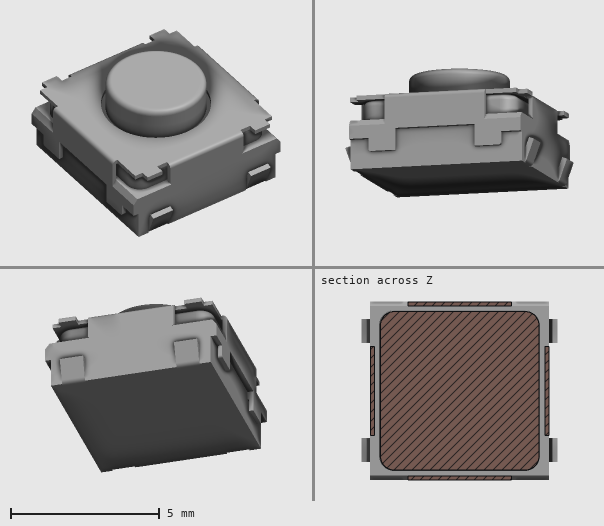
import cadquery as cq
import math

OVERALL_LENGTH = 6.6
OVERALL_HEIGHT = 3.5
BODY_SIZE = 6.0

BASE_WIDTH = 5.6
SHOULDER_BOTTOM = 1.0
SHOULDER_TOP = 1.65
SHOULDER_CHAMFER_HEIGHT = 0.2
SHOULDER_CHAMFER_DEPTH = 0.15
BLOCK_SIZE = 5.4
BLOCK_CORNER_RADIUS = 0.5
BLOCK_TOP_RADIUS = 0.2

SHEET = 0.15
COVER_TOP = 2.5
COVER_BOTTOM = COVER_TOP - SHEET
COVER_SIZE = 5.6
COVER_HOLE_DIAMETER = 3.7
EAR_SPAN = 6.205
EAR_INNER_Y = 1.9
EAR_OUTER_Y = 2.5
SIDE_TAB_WIDTH = 3.0
CLIP_WIDTH = 3.5
CLIP_FOOT_SPAN = 4.63
CLIP_BOTTOM = 0.555
WINDOW_WIDTH = 2.78
WINDOW_TOP = 1.3
TAB_CORNER_RADIUS = 0.08

BUTTON_DIAMETER = 3.4
BUTTON_TOP_RADIUS = 0.2

LEAD_WIDTH = 0.805
LEAD_SPACING = 4.0
LEAD_THICKNESS = 0.18
LEAD_TIP_HEIGHT = 0.805
LEAD_TILT = math.radians(20)


def block(x_size, y_size, bottom, top):
    """Box centred on the Z axis between two heights."""
    box = cq.Workplane("XY").box(x_size, y_size, top - bottom, centered=(True, True, False))
    return box.translate((0, 0, bottom))


def on_both_sides(feature):
    """Join a feature with its copy turned half way round the Z axis."""
    return feature.union(feature.rotate((0, 0, 0), (0, 0, 1), 180))


def make_housing():
    base = block(BODY_SIZE, BASE_WIDTH, 0, SHOULDER_BOTTOM)
    shoulder = (
        block(BODY_SIZE, BODY_SIZE, SHOULDER_BOTTOM, SHOULDER_TOP)
        .faces(">Z")
        .edges("|X")
        .chamfer(SHOULDER_CHAMFER_HEIGHT, SHOULDER_CHAMFER_DEPTH)
    )
    upper_block = (
        block(BLOCK_SIZE, BLOCK_SIZE, SHOULDER_TOP, COVER_BOTTOM)
        .edges("|Z")
        .fillet(BLOCK_CORNER_RADIUS)
        .faces(">Z")
        .edges()
        .fillet(BLOCK_TOP_RADIUS)
    )
    window = block(WINDOW_WIDTH, BODY_SIZE, SHOULDER_BOTTOM, WINDOW_TOP)
    window = window.cut(block(WINDOW_WIDTH, BASE_WIDTH, SHOULDER_BOTTOM, WINDOW_TOP))
    return base.union(shoulder).cut(window).union(upper_block)


def make_cover_plate():
    plate = block(COVER_SIZE, COVER_SIZE, COVER_BOTTOM, COVER_TOP)
    ears = block(EAR_SPAN, 2 * EAR_OUTER_Y, COVER_BOTTOM, COVER_TOP)
    ears = ears.cut(block(EAR_SPAN, 2 * EAR_INNER_Y, COVER_BOTTOM, COVER_TOP))
    hole = cq.Workplane("XY").circle(COVER_HOLE_DIAMETER / 2).extrude(COVER_TOP)
    return plate.union(ears).cut(hole)


def make_side_tabs():
    """Tabs that run from the cover plate down to the shoulder on the X sides."""
    outer = block(BODY_SIZE, SIDE_TAB_WIDTH, SHOULDER_TOP, COVER_TOP)
    outer = outer.faces("<Z").edges("|X").fillet(TAB_CORNER_RADIUS)
    outer = outer.faces(">Z").edges("|Y").fillet(SHEET)
    inner = block(BODY_SIZE - 2 * SHEET, SIDE_TAB_WIDTH, SHOULDER_TOP, COVER_BOTTOM)
    hole = block(COVER_SIZE - 2 * SHEET, SIDE_TAB_WIDTH, COVER_BOTTOM, COVER_TOP)
    return outer.cut(inner).cut(hole)


def make_clips():
    """Clips on the Y sides, each ending in two feet below the shoulder."""
    feet = block(CLIP_FOOT_SPAN, BODY_SIZE, CLIP_BOTTOM, SHOULDER_BOTTOM)
    feet = feet.faces("<Z").edges("|Y").fillet(TAB_CORNER_RADIUS)
    upright = block(CLIP_WIDTH, BODY_SIZE, SHOULDER_BOTTOM, COVER_TOP)
    upright = upright.faces(">Z").edges("|X").fillet(SHEET)
    inner = block(CLIP_FOOT_SPAN, BODY_SIZE - 2 * SHEET, CLIP_BOTTOM, COVER_BOTTOM)
    hole = block(CLIP_WIDTH, COVER_SIZE - 2 * SHEET, COVER_BOTTOM, COVER_TOP)
    window = block(WINDOW_WIDTH, BODY_SIZE, CLIP_BOTTOM, WINDOW_TOP)
    return feet.union(upright).cut(inner).cut(hole).cut(window)


def make_button():
    button = cq.Workplane("XY").workplane(offset=COVER_BOTTOM).circle(BUTTON_DIAMETER / 2)
    return button.extrude(OVERALL_HEIGHT - COVER_BOTTOM).faces(">Z").edges().fillet(BUTTON_TOP_RADIUS)


BEND_END_Z = LEAD_THICKNESS * (1 - math.sin(LEAD_TILT))
BEND_END_X = OVERALL_LENGTH / 2 - (LEAD_TIP_HEIGHT - BEND_END_Z) * math.tan(LEAD_TILT)
BEND_START_X = BEND_END_X - LEAD_THICKNESS * math.cos(LEAD_TILT)


def make_lead(y):
    """Lead on the +X side, centred at the given Y."""
    half_turn = (math.pi / 2 - LEAD_TILT) / 2
    bend_middle = (
        BEND_START_X + LEAD_THICKNESS * math.sin(half_turn),
        LEAD_THICKNESS * (1 - math.cos(half_turn)),
    )
    tip_outer = (OVERALL_LENGTH / 2, LEAD_TIP_HEIGHT)
    tip_inner = (
        tip_outer[0] - LEAD_THICKNESS * math.cos(LEAD_TILT),
        tip_outer[1] + LEAD_THICKNESS * math.sin(LEAD_TILT),
    )
    return (
        cq.Workplane("XZ", origin=(0, y + LEAD_WIDTH / 2, 0))
        .moveTo(BEND_START_X, 0)
        .threePointArc(bend_middle, (BEND_END_X, BEND_END_Z))
        .lineTo(*tip_outer)
        .lineTo(*tip_inner)
        .lineTo(BEND_START_X, LEAD_THICKNESS)
        .close()
        .extrude(LEAD_WIDTH)
    )


def make_lead_notch(y):
    """Room in the lower edge of the housing for the bend of a lead."""
    depth = BODY_SIZE / 2 - BEND_START_X
    notch = block(depth, LEAD_WIDTH, 0, LEAD_THICKNESS)
    return notch.translate((BEND_START_X + depth / 2, y, 0))


result = make_housing()
for lead_y in (-LEAD_SPACING / 2, LEAD_SPACING / 2):
    result = result.cut(on_both_sides(make_lead_notch(lead_y)))
    result = result.union(on_both_sides(make_lead(lead_y)))
for component in (make_cover_plate(), make_side_tabs(), make_clips(), make_button()):
    result = result.union(component)